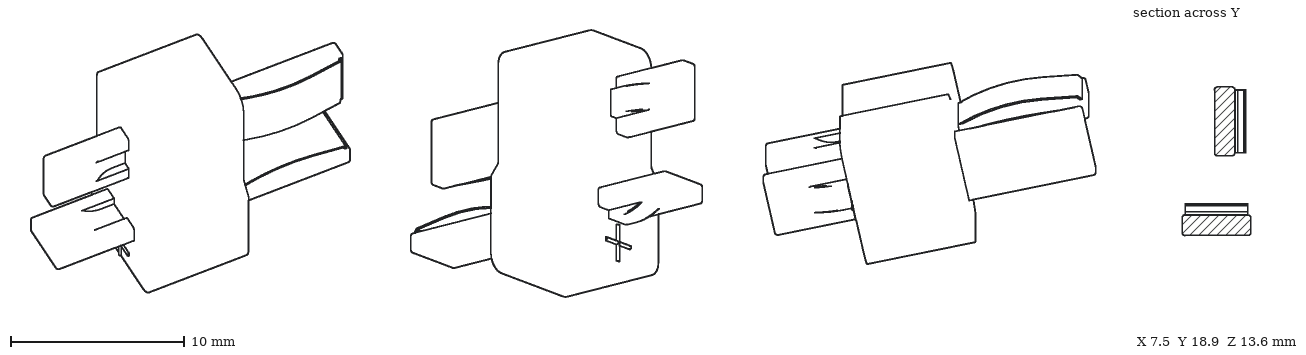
import cadquery as cq
import math


body_width = 7.5
body_top_width = 6.2
body_height = 13.6
body_depth = 6.4
body_corner_radius = 0.98
shoulder_low_z = 5.69
shoulder_high_z = 6.62
shoulder_blend_radius = 0.2
body_edge_radius = 0.05

total_length = 18.9
front_length = 4.99
rear_length = total_length - body_depth - front_length
blade_thickness = 1.2
front_width = 3.5
rear_width = 4.0
blade_round = 0.19
lower_blade_z = 3.61
upper_blade_x = 0.47
upper_blade_z = 9.6

tab_width = 1.65
tab_offset = 0.5
tab_flat_length = 0.8
tab_outer_radius = 3.0
tab_inner_radius = tab_outer_radius - blade_thickness
tab_edge_radius = 0.05
tab_end_blend_radius = 0.15
tab_overlap = 0.19

leaf_thickness = 0.1
leaf_width = rear_width - 2 * blade_round
leaf_crown_height = 0.65
leaf_crown_distance = 3.87
leaf_bend_distance = 2.4
leaf_corner_distance = 0.4
leaf_foot_distance = blade_round
leaf_corner_radius = 0.1

plus_span = 2.2
plus_bar_radius = 0.11
plus_center_z = 1.23

rear_tip_y = body_depth + rear_length


def box_between_y(width, height, y_start, y_end):
    """Box centred on the Y axis, spanning y_start to y_end."""
    length = y_end - y_start
    return cq.Workplane("XY").box(width, length, height).translate((0, y_start + length / 2, 0))


def make_housing():
    half_low = body_width / 2
    half_high = body_top_width / 2
    right_side = [
        (half_low, 0),
        (half_low, shoulder_low_z),
        (half_high, shoulder_high_z),
        (half_high, body_height),
    ]
    left_side = [(-x, z) for x, z in reversed(right_side)]
    housing = cq.Workplane("XZ").polyline(right_side + left_side).close().extrude(-body_depth)

    housing = housing.edges("|Y").edges("not(<Z or >Z)").fillet(shoulder_blend_radius)
    housing = housing.edges("|Y").edges("<Z or >Z").fillet(body_corner_radius)
    return housing.faces("<Y or >Y").edges().fillet(body_edge_radius)


def tab_section(surface_z, radius):
    """Region above a tab surface: flat from the housing, an arc rising, then a blend into the blade."""
    flat_z = surface_z - tab_offset
    center_y = -tab_flat_length
    center_z = flat_z + radius
    blend_center_z = surface_z - tab_end_blend_radius
    rise_angle = math.acos((center_z - blend_center_z) / (radius + tab_end_blend_radius))
    blend_center_y = center_y - (radius + tab_end_blend_radius) * math.sin(rise_angle)

    def arc_point(angle):
        return (center_y - radius * math.sin(angle), center_z - radius * math.cos(angle))

    def blend_point(angle):
        return (
            blend_center_y + tab_end_blend_radius * math.sin(angle),
            blend_center_z + tab_end_blend_radius * math.cos(angle),
        )

    return (
        cq.Workplane("YZ")
        .moveTo(0, surface_z + tab_overlap)
        .lineTo(0, flat_z)
        .lineTo(center_y, flat_z)
        .threePointArc(arc_point(rise_angle / 2), arc_point(rise_angle))
        .threePointArc(blend_point(rise_angle / 2), blend_point(0))
        .lineTo(blend_center_y, surface_z + tab_overlap)
        .close()
        .extrude(tab_width / 2, both=True)
    )


def make_front_blade():
    blade = box_between_y(front_width, blade_thickness, -front_length, 0)
    blade = blade.edges("not >Y").fillet(blade_round)
    recess = tab_section(blade_thickness / 2, tab_inner_radius)
    bulge = tab_section(-blade_thickness / 2, tab_outer_radius)
    bulge = bulge.faces("<X or >X").edges("not(>Y or <Y or >Z)").fillet(tab_edge_radius)
    return blade.cut(recess).union(bulge)


def make_leaf():
    """Sprung strip: short foot at the tip, straight stretch, then an arc sinking in at the housing."""
    base_z = blade_thickness / 2
    crown_y = rear_tip_y - leaf_crown_distance
    crown_z = base_z + leaf_crown_height
    half_chord = crown_y - body_depth
    outer_radius = (half_chord ** 2 + leaf_crown_height ** 2) / (2 * leaf_crown_height)
    inner_radius = outer_radius - leaf_thickness
    center_z = crown_z - outer_radius
    bend_angle = math.asin((leaf_crown_distance - leaf_bend_distance) / outer_radius)
    root_angle = -math.asin(half_chord / outer_radius)

    def arc_point(radius, angle):
        return (crown_y + radius * math.sin(angle), center_z + radius * math.cos(angle))

    bend_y, bend_z = arc_point(outer_radius, bend_angle)
    corner_y = rear_tip_y - leaf_corner_distance
    corner_z = bend_z - (corner_y - bend_y) * math.tan(bend_angle)
    foot_y = rear_tip_y - leaf_foot_distance
    foot_angle = math.atan2(corner_z - base_z, foot_y - corner_y)

    miter_angle = (bend_angle + foot_angle) / 2
    miter_length = leaf_thickness / math.cos((foot_angle - bend_angle) / 2)
    inner_corner = (
        corner_y - miter_length * math.sin(miter_angle),
        corner_z - miter_length * math.cos(miter_angle),
    )
    inner_foot_y = foot_y - leaf_thickness / math.sin(foot_angle)

    leaf = (
        cq.Workplane("YZ", origin=(-leaf_width / 2, 0, 0))
        .moveTo(*arc_point(outer_radius, root_angle))
        .threePointArc(arc_point(outer_radius, 0), (bend_y, bend_z))
        .lineTo(corner_y, corner_z)
        .lineTo(foot_y, base_z)
        .lineTo(inner_foot_y, base_z)
        .lineTo(*inner_corner)
        .lineTo(*arc_point(inner_radius, bend_angle))
        .threePointArc(arc_point(inner_radius, 0), arc_point(inner_radius, root_angle))
        .close()
        .extrude(leaf_width)
    )
    corner = cq.selectors.NearestToPointSelector((0, corner_y, corner_z))
    return leaf.edges(corner).fillet(leaf_corner_radius)


def make_rear_blade():
    blade = box_between_y(rear_width, blade_thickness, body_depth, rear_tip_y)
    blade = blade.edges("not <Y").fillet(blade_round)
    return blade.union(make_leaf())


def place_lower(blade):
    return blade.translate((0, 0, lower_blade_z))


def place_upper(blade):
    """Turn a blade on edge so that its leaf side faces +X."""
    turned = blade.rotate((0, 0, 0), (0, 1, 0), 90)
    return turned.translate((upper_blade_x, 0, upper_blade_z))


def make_plus():
    """Two crossed rods, half sunk into the front face."""
    rod = cq.Workplane("XY").circle(plus_bar_radius).extrude(plus_span / 2, both=True)
    crossed_rod = rod.rotate((0, 0, 0), (0, 1, 0), 90)
    return rod.union(crossed_rod).translate((0, 0, plus_center_z))


result = make_housing()
for half_blade in (make_front_blade(), make_rear_blade()):
    result = result.union(place_lower(half_blade))
    result = result.union(place_upper(half_blade))
result = result.union(make_plus())